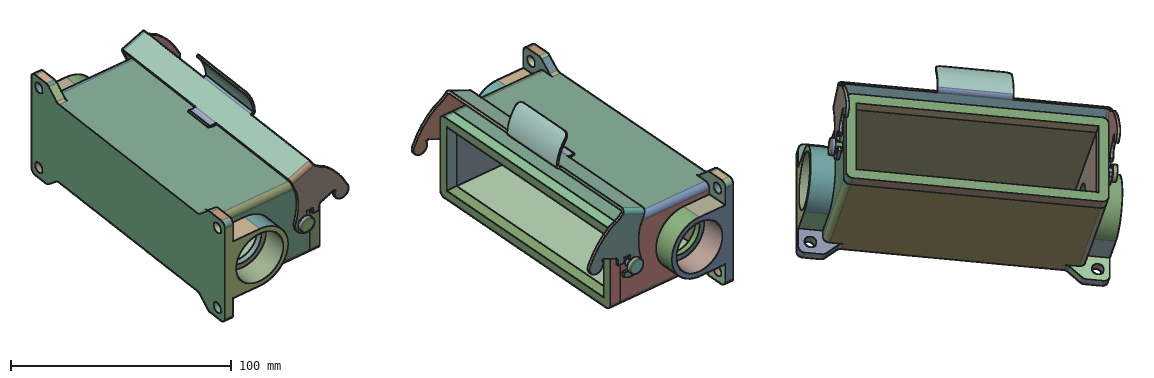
import cadquery as cq
import math


box_width = 121.0
box_height = 44.3
box_corner_radius = 3.0
housing_depth = 57.1
wall = 4.7
cavity_width = box_width - 2 * wall
cavity_height = box_height - 2 * wall

rim_depth = 5.9

plate_width = 143.5
plate_height = 57.1
plate_thickness = 4.7
plate_corner_radius = 2.9
ear_outer_x = 59.7
ear_inner_x = 52.4
mount_hole_diameter = 5.5
mount_hole_x = 66.2
mount_hole_z = 22.7

entry_y = 20.0
entry_radius = 16.2
entry_bore_diameter = 21.5
entry_counterbore_diameter = 27.0
entry_counterbore_depth = 12.9

pin_y = 52.0
pin_neck_diameter = 4.7
pin_head_diameter = 8.0
pin_head_inner_x = 63.9
pin_head_outer_x = 66.0
pin_head_fillet = 0.5

lever_width = 126.3
sheet = 1.5
bend_radius = 2.3
strap_tilt = 22.5
strap_rear = (44.3, 26.7)
strap_length = 13.3
strap_edge_depth = 2.0
rear_edge_depth = 9.0
lobe_center = (53.2, 0.0)
lobe_radius = 6.3
lobe_rear_angle = 22.0
lobe_flat_y = 57.1
slot_width = 5.5
notch_rear_y = 53.5
notch_top_z = 5.6
hook_center = (73.5, 7.7)
hook_radius = 4.0
hook_back_angle = 40.0
hook_mouth_angle = 150.0

neck_middle = (60.5, 27.4)
neck_end = (64.6, 25.3)
back_middle = (71.2, 19.0)
mouth_corner = (68.6, 10.0)
throat_end = (63.1, 7.6)
tooth_shoulder = (61.3, 6.7)
tooth_front = (60.4, 5.0)
rear_middle = (48.6, 10.8)

handle_width = 35.0
handle_corner_radius = 3.3
handle_center = (34.9, 30.5)
handle_radius = 24.4
handle_tip_angle = 45.0
handle_foot_angle = 4.5
handle_thickness = 1.1
handle_bend_outer = (58.5, 31.1)
handle_bend_inner = (57.5, 32.1)

tab_width = 15.0
tab_top_middle = (42.5, 26.3)
tab_top_end = (40.6, 26.7)
tab_bottom_end = (40.0, 25.8)
tab_bottom_middle = (42.5, 25.3)


def prism_x(profile, width):
    """Extrude a (Y, Z) profile symmetrically about X = 0."""
    return profile.extrude(width / 2, both=True)


def polar(center, radius, degrees):
    angle = math.radians(degrees)
    return (center[0] + radius * math.cos(angle), center[1] + radius * math.sin(angle))


def strap_point(along, below):
    """(Y, Z) of a point measured forward along the strap and down from its outer surface."""
    tilt = math.radians(strap_tilt)
    return (
        strap_rear[0] + along * math.cos(tilt) + below * math.sin(tilt),
        strap_rear[1] + along * math.sin(tilt) - below * math.cos(tilt),
    )


def box_along_y(width, height, start_y, end_y):
    """Rectangular block centred on the Y axis between two Y positions."""
    block = cq.Workplane("XY").box(width, end_y - start_y, height)
    return block.translate((0, (start_y + end_y) / 2, 0))


def cylinder_x(diameter, start_x, end_x, y):
    """Round bar along X at height Z = 0."""
    disc = cq.Workplane("YZ", origin=(start_x, 0, 0)).center(y, 0).circle(diameter / 2)
    return disc.extrude(end_x - start_x)


def make_plate():
    half_width = plate_width / 2
    half_height = plate_height / 2
    half_box = box_height / 2
    quarter = [
        (half_width, half_height),
        (ear_outer_x, half_height),
        (ear_inner_x, half_box),
    ]
    upper = quarter + [(-x, z) for x, z in reversed(quarter)]
    lower = [(x, -z) for x, z in reversed(upper)]
    plate = cq.Workplane("XZ").polyline(upper + lower).close().extrude(-plate_thickness)
    plate = plate.edges("|Y").fillet(plate_corner_radius)
    holes = cq.Workplane("XZ").rect(2 * mount_hole_x, 2 * mount_hole_z, forConstruction=True).vertices()
    holes = holes.circle(mount_hole_diameter / 2)
    return plate.cut(holes.extrude(-plate_thickness))


def make_entry_bosses():
    """Round boss with flat flanks down to the plate, reaching out on both ends."""
    profile = (
        cq.Workplane("YZ")
        .moveTo(0, entry_radius)
        .lineTo(entry_y, entry_radius)
        .threePointArc((entry_y + entry_radius, 0), (entry_y, -entry_radius))
        .lineTo(0, -entry_radius)
        .close()
    )
    return prism_x(profile, plate_width)


def make_pin():
    neck = cylinder_x(pin_neck_diameter, cavity_width / 2, pin_head_outer_x, pin_y)
    head = cylinder_x(pin_head_diameter, pin_head_inner_x, pin_head_outer_x, pin_y)
    return neck.union(head.faces(">X").edges().fillet(pin_head_fillet))


def make_housing():
    box = box_along_y(box_width, box_height, 0, housing_depth)
    housing = box.edges("|Y").fillet(box_corner_radius).union(make_plate()).union(make_entry_bosses())
    housing = housing.cut(box_along_y(cavity_width, cavity_height, wall, housing_depth))
    half = plate_width / 2
    housing = housing.cut(cylinder_x(entry_bore_diameter, -half, half, entry_y))
    counterbore = cylinder_x(entry_counterbore_diameter, half - entry_counterbore_depth, half, entry_y)
    pin = make_pin()
    housing = housing.cut(counterbore).cut(counterbore.mirror("YZ"))
    return housing.union(pin).union(pin.mirror("YZ"))


def make_rim():
    mouth_y = housing_depth + rim_depth
    rim = box_along_y(box_width, box_height, housing_depth, mouth_y).edges("|Y").fillet(box_corner_radius)
    return rim.cut(box_along_y(cavity_width, cavity_height, housing_depth, mouth_y))


def make_lever_arms():
    """Strap and both hooked side arms, cut from one block with the outline of an arm."""
    half_slot = slot_width / 2
    lobe_flat_z = -math.sqrt(lobe_radius**2 - (lobe_flat_y - lobe_center[0]) ** 2)
    hook_bottom = (hook_center[0], hook_center[1] - hook_radius)
    lobe_bottom = (lobe_center[0], lobe_center[1] - lobe_radius)
    lobe_rear = polar(lobe_center, lobe_radius, 180 - lobe_rear_angle)
    outline = (
        cq.Workplane("YZ")
        .moveTo(*strap_point(0, 0))
        .lineTo(*strap_point(strap_length, 0))
        .lineTo(*strap_point(strap_length, strap_edge_depth))
        .threePointArc(neck_middle, neck_end)
        .threePointArc(back_middle, polar(hook_center, hook_radius, hook_back_angle))
        .threePointArc(hook_bottom, polar(hook_center, hook_radius, hook_mouth_angle))
        .lineTo(*mouth_corner)
        .lineTo(*throat_end)
        .threePointArc(tooth_shoulder, tooth_front)
        .lineTo(tooth_front[0], half_slot)
        .lineTo(lobe_flat_y, half_slot)
        .lineTo(lobe_flat_y, notch_top_z)
        .lineTo(notch_rear_y, notch_top_z)
        .lineTo(notch_rear_y, half_slot)
        .lineTo(pin_y, half_slot)
        .threePointArc((pin_y - half_slot, 0), (pin_y, -half_slot))
        .lineTo(lobe_flat_y, -half_slot)
        .lineTo(lobe_flat_y, lobe_flat_z)
        .threePointArc(lobe_bottom, lobe_rear)
        .threePointArc(rear_middle, strap_point(0, rear_edge_depth))
        .close()
    )
    block = prism_x(outline, lever_width)
    tilt = math.radians(strap_tilt)
    strap_direction = cq.Vector(0, math.cos(tilt), math.sin(tilt))
    strap_edges = cq.selectors.ParallelDirSelector(strap_direction)
    block = block.edges(strap_edges).fillet(bend_radius)

    reach = 57.4
    corners = [(-reach, sheet), (reach, sheet), (reach, reach), (-reach, reach)]
    gap_profile = cq.Workplane("YZ").polyline([strap_point(along, below) for along, below in corners]).close()
    gap = prism_x(gap_profile, lever_width - 2 * sheet)
    gap = gap.faces(">Z").edges(strap_edges).fillet(bend_radius - sheet)
    return block.cut(gap)


def make_handle():
    """Finger handle: a short bend up from the strap, then a long arc to the rounded tip."""
    inner_radius = handle_radius - handle_thickness
    middle_angle = (handle_tip_angle + handle_foot_angle) / 2
    profile = (
        cq.Workplane("YZ")
        .moveTo(*polar(handle_center, handle_radius, handle_tip_angle))
        .threePointArc(
            polar(handle_center, handle_radius, middle_angle),
            polar(handle_center, handle_radius, handle_foot_angle),
        )
        .threePointArc(handle_bend_outer, strap_point(strap_length, sheet))
        .lineTo(*strap_point(strap_length, 0))
        .threePointArc(handle_bend_inner, polar(handle_center, inner_radius, handle_foot_angle))
        .threePointArc(
            polar(handle_center, inner_radius, middle_angle),
            polar(handle_center, inner_radius, handle_tip_angle),
        )
        .close()
    )
    handle = prism_x(profile, handle_width)
    return handle.faces(">Z").edges("#X").fillet(handle_corner_radius)


def make_tab():
    """Small upturned tab on the rear edge of the strap."""
    profile = (
        cq.Workplane("YZ")
        .moveTo(*strap_point(0, 0))
        .threePointArc(tab_top_middle, tab_top_end)
        .lineTo(*tab_bottom_end)
        .threePointArc(tab_bottom_middle, strap_point(0, sheet))
        .close()
    )
    return prism_x(profile, tab_width)


def make_lever():
    return make_lever_arms().union(make_handle()).union(make_tab())


housing = make_housing()
rim = make_rim()
lever = make_lever()
result = cq.Compound.makeCompound([housing.val(), rim.val(), lever.val()])